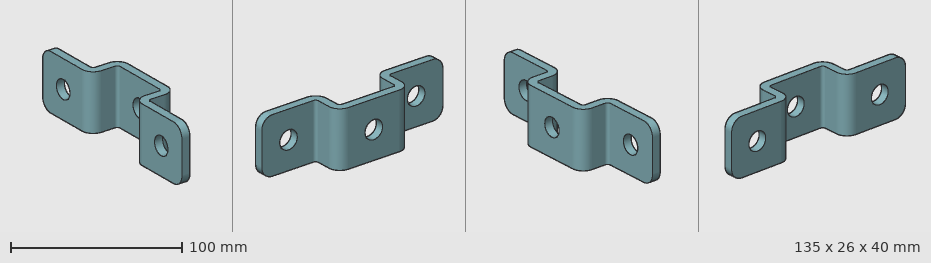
import cadquery as cq

length = 135.0
depth = 26.0
height = 40.0
thickness = 6.0

hat_width = 54.0
inner_bend_radius = 2.0
outer_bend_radius = inner_bend_radius + thickness

corner_radius = 8.0
hole_diameter = 13.0
hole_spacing = 47.5

half_length = length / 2
hat_outer = hat_width / 2
hat_inner = hat_outer - thickness


def bend_edges(body, bends, radius):
    """Round the vertical edges at the given (x, y) places on both sides."""
    for x, y in bends:
        for side in (-1, 1):
            edge = cq.selectors.NearestToPointSelector((side * x, y, 0))
            body = body.edges("|Z").edges(edge).fillet(radius)
    return body


def make_bent_strip():
    """Hat-shaped strip with flanges on the -Y side, centred on Z."""
    right_half = [
        (0, depth),
        (hat_outer, depth),
        (hat_outer, thickness),
        (half_length, thickness),
        (half_length, 0),
        (hat_inner, 0),
        (hat_inner, depth - thickness),
        (0, depth - thickness),
    ]
    left_half = [(-x, y) for x, y in reversed(right_half[1:-1])]
    strip = cq.Workplane("XY").polyline(right_half + left_half).close().extrude(height / 2, both=True)

    outer_bends = [(hat_outer, depth), (hat_inner, 0)]
    inner_bends = [(hat_inner, depth - thickness), (hat_outer, thickness)]
    strip = bend_edges(strip, outer_bends, outer_bend_radius)
    return bend_edges(strip, inner_bends, inner_bend_radius)


def round_flange_corners(body):
    """Round the four end corners of the flanges."""
    return body.faces("<X or >X").edges("|Y").fillet(corner_radius)


def drill_holes(body):
    """One through hole in each flange and one in the middle of the hat."""
    holes = (
        cq.Workplane("XZ")
        .pushPoints([(-hole_spacing, 0), (0, 0), (hole_spacing, 0)])
        .circle(hole_diameter / 2)
        .extrude(-depth)
    )
    return body.cut(holes)


result = drill_holes(round_flange_corners(make_bent_strip()))